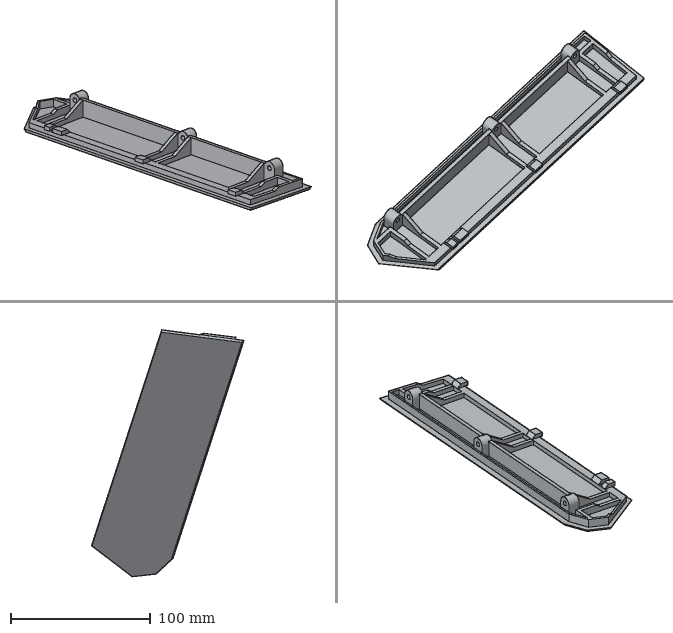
import cadquery as cq
import math

LENGTH = 250.5
WIDTH = 59.9
PLATE_THICKNESS = 2.0
PLATE_OUTLINE = [
    (0, 35.0), (6.8, 51.9), (24.5, WIDTH), (LENGTH, WIDTH), (247.7, 0), (23.8, 0),
]
UNDERCUT = 1.5
RIGHT_UNDERCUT = 0.5
UNDERCUTS = [UNDERCUT, UNDERCUT, UNDERCUT, RIGHT_UNDERCUT, 0, UNDERCUT]

FRAME_FRONT = 3.8
FRAME_REAR = 55.0
FRAME_OUTLINE = [
    (4.3, 34.8), (9.5, 48.3), (24.5, FRAME_REAR), (246.2, FRAME_REAR), (243.5, FRAME_FRONT), (25.0, FRAME_FRONT),
]

FRONT_HEIGHT = 6.0
FRAME_REAR_HEIGHT = 8.3
RAMP_ANGLE = 30.0
RAMP_START = 27.8

BAY_FLOOR = 2.5
TROUGH_FLOOR = 4.0
BAY_FRONT = 10.5
BAY_REAR = 44.5
REAR_WALL = 3.0
TALL_HEIGHT = FRONT_HEIGHT + (BAY_REAR - RAMP_START) * math.tan(math.radians(RAMP_ANGLE))
TROUGH_FRONT = BAY_REAR + REAR_WALL
TROUGH_REAR = 53.5
LEFT_BAY = [(6.3, 34.8), (10.3, BAY_REAR), (23.8, BAY_REAR), (23.8, BAY_FRONT), (22.5, BAY_FRONT)]
RIGHT_BAY = [(231.2, BAY_FRONT), (231.2, BAY_REAR), (243.0, BAY_REAR), (241.0, BAY_FRONT)]
TROUGH = [(12.3, TROUGH_FRONT), (25.8, TROUGH_REAR), (243.7, TROUGH_REAR), (243.7, TROUGH_FRONT)]

BOSS_RADIUS = 5.0
BOSS_HOLE_DIAMETER = 3.5
BOSS_TOP = 18.3
BOSS_AXIS_HEIGHT = BOSS_TOP - BOSS_RADIUS
BOSS_CENTERS = [31.5, 138.3, 223.5]
RIB = 3.0

TABS = [(42.3, 47.3), (50.0, 59.4), (131.8, 139.5), (223.5, 231.2)]
TAB_FRONT = 1.5
TAB_CREST_REAR = 7.5
TAB_HEIGHT = 9.0


def prism(outline, bottom, top):
    return cq.Workplane("XY").workplane(offset=bottom).polyline(outline).close().extrude(top - bottom)


def along_x(profile, left, right):
    """Extrude a (y, z) profile from x = left to x = right."""
    return cq.Workplane("YZ").workplane(offset=left).polyline(profile).close().extrude(right - left)


def box(left, right, front, rear, top):
    """Block standing on the bay floor."""
    outline = [(left, front), (right, front), (right, rear), (left, rear)]
    return prism(outline, BAY_FLOOR, top)


def ramped_profile(front, rear, top):
    """Low at the front, then rising at the ramp angle to a flat top."""
    ramp_end = RAMP_START + (top - FRONT_HEIGHT) / math.tan(math.radians(RAMP_ANGLE))
    return [
        (front, PLATE_THICKNESS), (front, FRONT_HEIGHT), (RAMP_START, FRONT_HEIGHT),
        (ramp_end, top), (rear, top), (rear, PLATE_THICKNESS),
    ]


def inset_side(start, end, distance):
    """Move one side of a clockwise outline inward; return a point on it and its direction."""
    length = math.dist(start, end)
    step_x = (end[0] - start[0]) / length
    step_y = (end[1] - start[1]) / length
    return start[0] + step_y * distance, start[1] - step_x * distance, step_x, step_y


def crossing(first, second):
    """Point where two sides, each given as a point and a direction, meet."""
    x1, y1, dx1, dy1 = first
    x2, y2, dx2, dy2 = second
    along = ((x2 - x1) * dy2 - (y2 - y1) * dx2) / (dx1 * dy2 - dy1 * dx2)
    return x1 + along * dx1, y1 + along * dy1


def make_plate():
    corners = zip(PLATE_OUTLINE, PLATE_OUTLINE[1:] + PLATE_OUTLINE[:1], UNDERCUTS)
    sides = [inset_side(start, end, undercut) for start, end, undercut in corners]
    bottom_outline = [crossing(sides[i - 1], sides[i]) for i in range(len(sides))]
    return (
        cq.Workplane("XY").polyline(bottom_outline).close()
        .workplane(offset=PLATE_THICKNESS).polyline(PLATE_OUTLINE).close()
        .loft(ruled=True)
    )


def make_frame():
    frame = prism(FRAME_OUTLINE, PLATE_THICKNESS, FRAME_REAR_HEIGHT)
    frame = frame.intersect(along_x(ramped_profile(FRAME_FRONT, FRAME_REAR, FRAME_REAR_HEIGHT), 0, LENGTH))
    for opening, floor in ((LEFT_BAY, BAY_FLOOR), (RIGHT_BAY, BAY_FLOOR), (TROUGH, TROUGH_FLOOR)):
        frame = frame.cut(prism(opening, floor, FRAME_REAR_HEIGHT))
    middle_left = LEFT_BAY[2][0]
    middle_right = RIGHT_BAY[0][0]
    return frame.cut(box(middle_left, middle_right, BAY_FRONT, BAY_REAR, FRAME_REAR_HEIGHT))


def make_rib(left, top):
    return along_x(ramped_profile(BAY_FRONT, TROUGH_FRONT, top), left, left + RIB)


def make_ribs():
    """The outermost rib at each end stays at frame height; the others reach the tall rear wall."""
    first, last = BOSS_CENTERS[0], BOSS_CENTERS[-1]
    ribs = cq.Workplane("XY")
    for center in BOSS_CENTERS:
        left_top = FRAME_REAR_HEIGHT if center == first else TALL_HEIGHT
        right_top = FRAME_REAR_HEIGHT if center == last else TALL_HEIGHT
        ribs = ribs.add(make_rib(center - BOSS_RADIUS - RIB, left_top))
        ribs = ribs.add(make_rib(center + BOSS_RADIUS, right_top))
    return ribs.combine()


def make_boss(center):
    depth = TROUGH_REAR - BAY_REAR
    plane = cq.Workplane("XZ", origin=(center, TROUGH_REAR, 0))
    return (
        plane.moveTo(-BOSS_RADIUS, PLATE_THICKNESS).lineTo(-BOSS_RADIUS, BOSS_AXIS_HEIGHT)
        .threePointArc((0, BOSS_TOP), (BOSS_RADIUS, BOSS_AXIS_HEIGHT))
        .lineTo(BOSS_RADIUS, PLATE_THICKNESS).close().extrude(depth)
    )


def make_boss_hole(center):
    plane = cq.Workplane("XZ", origin=(center, WIDTH, 0))
    return plane.center(0, BOSS_AXIS_HEIGHT).circle(BOSS_HOLE_DIAMETER / 2).extrude(WIDTH)


def make_tab(left, right):
    profile = [
        (TAB_FRONT, FRONT_HEIGHT), (TAB_FRONT, TAB_HEIGHT),
        (TAB_CREST_REAR, TAB_HEIGHT), (BAY_FRONT, FRONT_HEIGHT),
    ]
    return along_x(profile, left, right)


result = make_plate().union(make_frame()).union(make_ribs())
result = result.union(box(BOSS_CENTERS[0], BOSS_CENTERS[-1], BAY_REAR, TROUGH_FRONT, TALL_HEIGHT))
for boss_center in BOSS_CENTERS:
    result = result.union(make_boss(boss_center))
for tab_left, tab_right in TABS:
    result = result.union(make_tab(tab_left, tab_right))
for boss_center in BOSS_CENTERS:
    result = result.cut(make_boss_hole(boss_center))